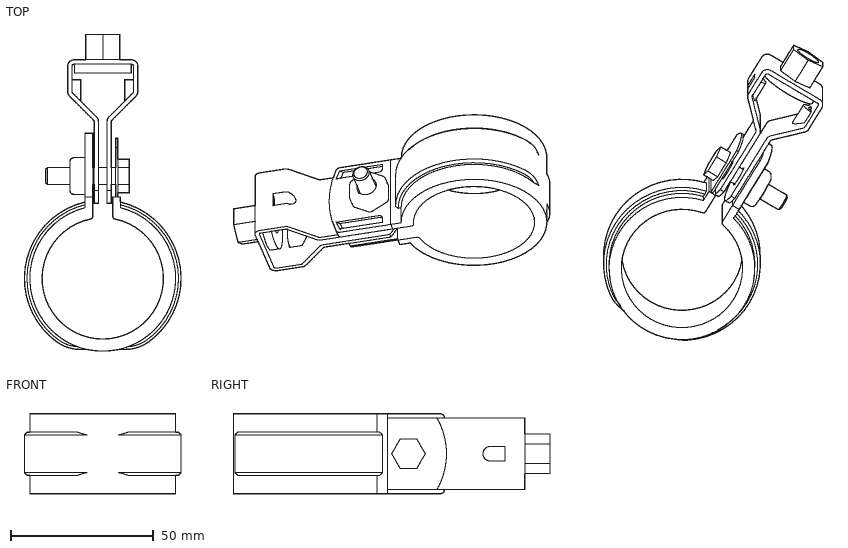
import cadquery as cq
import math


ring_height = 28.0
ring_radius = 25.5
bore_radius = 21.2
gap_half = 3.4
lug_thickness = 2.8
lug_outer = gap_half + lug_thickness
lug_end_y = 28.5
gap_corner_radius = 1.0

band_radius = 27.44
band_height = 15.1
band_chamfer = 0.94
band_turn_x = 15.9
band_turn_radius = 13.5

bolt_y = 35.8
bolt_diameter = 6.0
clearance_diameter = 7.0
bolt_tip_x = -20.0
bolt_chamfer = 0.5
head_across_corners = 11.8
head_height = 4.0

nut_across_flats = 13.0
nut_height = 5.3
nut_corner_radius = 1.7
nut_rim_radius = 1.5

left_plate_end_y = 50.8
left_plate_arc_radius = 35.9
left_plate_corner_radius = 1.7
right_plate_end_y = 49.1
right_plate_arc_radius = 25.3
right_plate_height = 25.0
right_plate_thickness = 0.8
right_plate_inner = 4.5
right_plate_outer = right_plate_inner + right_plate_thickness

recess_depth = 1.1
recess_near_y = 31.5
recess_inner_end_y = 48.2
recess_outer_end_y = 47.0
recess_inner_z = 9.4
recess_outer_z = 12.5
recess_corner_radius = 1.3

strap_width = 25.0
strap_thickness = 1.5
strap_half = 12.3
strap_back_y = 76.5
shoulder_y = 64.4
leg_outer = 3.0
leg_end_y = 26.3
leg_arc_radius = 19.5
inner_bend_radius = 0.8
outer_bend_radius = inner_bend_radius + strap_thickness
neck_y = shoulder_y - (strap_half - leg_outer)

dimple_radius = 2.5
dimple_wall = 2.1
dimple_end_y = 69.5

insert_end_y = 85.4
hex_across_flats = 12.0
flange_diameter = 20.0
flange_thickness = 3.1
neck_diameter = 10.5
insert_bore = 8.5


def x_rod(diameter, x_start, x_end, y, z=0):
    """Cylinder along X."""
    return cq.Workplane("YZ", origin=(x_start, y, z)).circle(diameter / 2).extrude(x_end - x_start)


def y_rod(diameter, x, y_start, y_end):
    """Cylinder along Y."""
    return cq.Workplane("XZ", origin=(x, y_start, 0)).circle(diameter / 2).extrude(y_start - y_end)


def x_block(x_start, x_end, y_start, y_end, height):
    """Box centred on Z = 0."""
    return (
        cq.Workplane("XY")
        .box(x_end - x_start, y_end - y_start, height)
        .translate(((x_start + x_end) / 2, (y_start + y_end) / 2, 0))
    )


def arc_drop(radius, half_width):
    """Height lost by an arc between its crown and the given half width."""
    return radius - math.sqrt(radius**2 - half_width**2)


def make_band():
    """Solid disc with the outline of the bands: round, then two tighter turns and a flat front."""
    turn_angle = math.asin(band_turn_x / band_radius)
    centre_distance = band_radius - band_turn_radius
    turn_centre_x = centre_distance * math.sin(turn_angle)
    turn_centre_y = -centre_distance * math.cos(turn_angle)
    flat_y = turn_centre_y - band_turn_radius
    turn_start_y = -band_radius * math.cos(turn_angle)
    middle_x = turn_centre_x + band_turn_radius * math.sin(turn_angle / 2)
    middle_y = turn_centre_y - band_turn_radius * math.cos(turn_angle / 2)
    return (
        cq.Workplane("XY", origin=(0, 0, -band_height / 2))
        .moveTo(-turn_centre_x, flat_y)
        .threePointArc((-middle_x, middle_y), (-band_turn_x, turn_start_y))
        .threePointArc((0, band_radius), (band_turn_x, turn_start_y))
        .threePointArc((middle_x, middle_y), (turn_centre_x, flat_y))
        .close()
        .extrude(band_height)
        .faces("|Z")
        .edges()
        .chamfer(band_chamfer)
    )


def make_ring():
    ring = cq.Workplane("XY").circle(ring_radius).extrude(ring_height / 2, both=True)
    ring = ring.union(make_band())
    ring = ring.union(x_block(-lug_outer, lug_outer, 0, lug_end_y, ring_height))
    bore = cq.Workplane("XY").circle(bore_radius).extrude(ring_height, both=True)
    gap = x_block(-gap_half, gap_half, 0, lug_end_y, ring_height)
    ring = ring.cut(bore).cut(gap)
    gap_corner_y = math.sqrt(bore_radius**2 - gap_half**2)
    corners = cq.selectors.BoxSelector(
        (-gap_half - 0.1, gap_corner_y - 0.1, -ring_height),
        (gap_half + 0.1, gap_corner_y + 0.1, ring_height),
    )
    return ring.edges("|Z").edges(corners).fillet(gap_corner_radius)


def make_plate(x_inner, x_outer, height, end_y, arc_radius):
    """Flat plate standing on a ring lug, with an arched end and a bolt hole."""
    half_height = height / 2
    shoulder = end_y - arc_drop(arc_radius, half_height)
    plate = (
        cq.Workplane("YZ", origin=(x_inner, 0, 0))
        .moveTo(lug_end_y, -half_height)
        .lineTo(shoulder, -half_height)
        .threePointArc((end_y, 0), (shoulder, half_height))
        .lineTo(lug_end_y, half_height)
        .close()
        .extrude(x_outer - x_inner)
    )
    return plate.cut(x_rod(clearance_diameter, x_inner, x_outer, bolt_y))


def make_recess():
    """Cutter for the upper recess: its far end is slanted and ramps up from the floor."""
    floor_x = -lug_outer + recess_depth

    def section(far_y):
        return [
            (-lug_outer, recess_near_y),
            (-lug_outer, far_y),
            (floor_x, far_y - recess_depth),
            (floor_x, recess_near_y),
        ]

    return (
        cq.Workplane("XY", origin=(0, 0, recess_inner_z))
        .polyline(section(recess_inner_end_y))
        .close()
        .workplane(offset=recess_outer_z - recess_inner_z)
        .polyline(section(recess_outer_end_y))
        .close()
        .loft(ruled=True)
        .edges("|X")
        .edges("<Y")
        .edges("<Z")
        .fillet(recess_corner_radius)
    )


def make_left_plate():
    recess = make_recess()
    plate = make_plate(-lug_outer, -gap_half, ring_height, left_plate_end_y, left_plate_arc_radius)
    plate = plate.edges("|X").edges(">Y").fillet(left_plate_corner_radius)
    return plate.cut(recess).cut(recess.mirror("XY"))


def make_right_plate():
    return make_plate(
        right_plate_inner,
        right_plate_outer,
        right_plate_height,
        right_plate_end_y,
        right_plate_arc_radius,
    )


def make_bolt():
    shank = x_rod(bolt_diameter, bolt_tip_x, right_plate_outer, bolt_y)
    shank = shank.faces("<X").chamfer(bolt_chamfer)
    head = (
        cq.Workplane("YZ", origin=(right_plate_outer, bolt_y, 0))
        .polygon(6, head_across_corners)
        .extrude(head_height)
    )
    return shank.union(head)


def make_nut():
    """Hexagon nut with corners up and down, rounded on its corners and outer rim."""
    across_corners = nut_across_flats / math.cos(math.pi / 6)
    nut = (
        cq.Workplane("YZ", origin=(-lug_outer - nut_height, bolt_y, 0))
        .transformed(rotate=(0, 0, 90))
        .polygon(6, across_corners)
        .extrude(nut_height)
        .edges("|X")
        .fillet(nut_corner_radius)
        .faces("<X")
        .edges()
        .fillet(nut_rim_radius)
    )
    return nut.cut(x_rod(clearance_diameter, -lug_outer - nut_height, -lug_outer, bolt_y))


def make_hanger_envelope():
    """Solid filling the hanger out to the outer face of its strap."""
    envelope = (
        cq.Workplane("XY", origin=(0, 0, -strap_width / 2))
        .polyline([
            (-strap_half, strap_back_y),
            (-strap_half, shoulder_y),
            (-leg_outer, neck_y),
            (-leg_outer, leg_end_y),
            (leg_outer, leg_end_y),
            (leg_outer, neck_y),
            (strap_half, shoulder_y),
            (strap_half, strap_back_y),
        ])
        .close()
        .extrude(strap_width)
    )
    neck_band = cq.selectors.BoxSelector(
        (-strap_half, neck_y - 0.1, -strap_width), (strap_half, neck_y + 0.1, strap_width)
    )
    above_neck = cq.selectors.BoxSelector(
        (-strap_half - 1.1, neck_y + 1.1, -strap_width), (strap_half + 1.1, strap_back_y + 1.1, strap_width)
    )
    envelope = envelope.edges("|Z").edges(above_neck).fillet(outer_bend_radius)
    return envelope.edges("|Z").edges(neck_band).fillet(inner_bend_radius)


def make_leg_end_trim():
    """Block with an arched edge that rounds off the ends of the two legs."""
    half_width = strap_width / 2
    corner_y = leg_end_y + arc_drop(leg_arc_radius, half_width)
    below_legs_y = leg_end_y - strap_thickness
    return (
        cq.Workplane("YZ", origin=(-leg_outer, 0, 0))
        .moveTo(corner_y, -half_width)
        .threePointArc((leg_end_y, 0), (corner_y, half_width))
        .lineTo(below_legs_y, half_width)
        .lineTo(below_legs_y, -half_width)
        .close()
        .extrude(2 * leg_outer)
    )


def make_hanger():
    """Bent strap with two legs, an inward dimple pressed into each side, and round holes."""
    envelope = make_hanger_envelope()
    strap = envelope.faces("|Z or <Y").shell(-strap_thickness)
    for side in (-1, 1):
        wall = y_rod(2 * (dimple_radius + dimple_wall), side * strap_half, neck_y, dimple_end_y)
        groove = y_rod(2 * dimple_radius, side * strap_half, neck_y, dimple_end_y)
        strap = strap.union(wall.intersect(envelope)).cut(groove)
    strap = strap.cut(make_leg_end_trim())
    strap = strap.cut(x_rod(clearance_diameter, -leg_outer, leg_outer, bolt_y))
    return strap.cut(y_rod(neck_diameter, 0, strap_back_y - strap_thickness, strap_back_y))


def make_insert():
    """Bored hexagon outside the strap, joined through it to a round flange inside."""
    inner_y = strap_back_y - strap_thickness
    flange_y = inner_y - flange_thickness
    hexagon = (
        cq.Workplane("XZ", origin=(0, insert_end_y, 0))
        .transformed(rotate=(0, 0, 90))
        .polygon(6, hex_across_flats / math.cos(math.pi / 6))
        .extrude(insert_end_y - strap_back_y)
    )
    neck = y_rod(neck_diameter, 0, inner_y, strap_back_y)
    flange = y_rod(flange_diameter, 0, flange_y, inner_y)
    bore = y_rod(insert_bore, 0, flange_y, insert_end_y)
    return hexagon.union(neck).union(flange).cut(bore)


ring = make_ring()
left_plate = make_left_plate()
right_plate = make_right_plate()
bolt = make_bolt()
nut = make_nut()
hanger = make_hanger()
insert = make_insert()

result = cq.Compound.makeCompound([
    ring.val(),
    left_plate.val(),
    right_plate.val(),
    bolt.val(),
    nut.val(),
    hanger.val(),
    insert.val(),
])